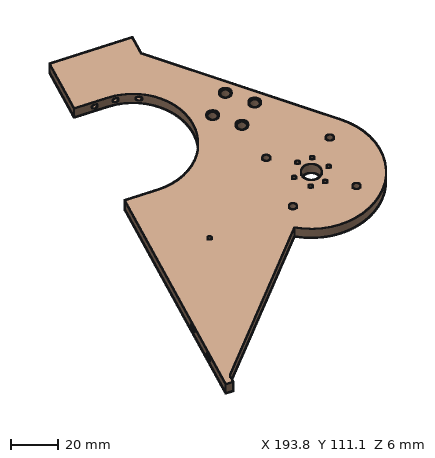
import cadquery as cq
import math

length = 193.8
thickness = 6.0
shoulder_width = 9.7
shoulder_height = 38.2
tip_width = 3.9
tip_height = 3.5

head_x = 98.6
head_y = 79.3
head_radius = 31.8
notch_x = 124.5

arch_x = 54.8
arch_radius = 27.7
arch_spring_y = 15.5

bore_diameter = 9.0
ring_radius = 8.0
ring_angles = (25, 90, 155, 205, 270, 335)
small_diameter = 2.0
bolt_spacing = 29.3
bolt_diameter = 3.5

group_x = 53.5
group_y = 62.5
group_spacing = 13.5
group_diameter = 4.5
countersink_diameter = 5.5
countersink_angle = 90.0

pilot_x = 115.9
pilot_y = 25.2

edge_hole_z = thickness / 2
left_hole_diameter = 2.5
left_hole_middle_y = 19.0
left_hole_pitch = 9.5
front_hole_diameter = 3.5
front_hole_depth = 9.7
drill_point_angle = 118.0
front_hole_xs = (157.2, 174.6)

shoulder_to_head_x = head_x - shoulder_width
shoulder_to_head_y = head_y - shoulder_height
slant_angle = math.atan2(shoulder_to_head_y, shoulder_to_head_x) + math.asin(
    head_radius / math.hypot(shoulder_to_head_x, shoulder_to_head_y)
)
tangent_point = (
    head_x - head_radius * math.sin(slant_angle),
    head_y + head_radius * math.cos(slant_angle),
)
notch_y = head_y - math.sqrt(head_radius**2 - (notch_x - head_x) ** 2)


def make_plate():
    """Plate outline with the round head and the arched opening."""
    return (
        cq.Workplane("XY")
        .lineTo(0, shoulder_height)
        .lineTo(shoulder_width, shoulder_height)
        .lineTo(*tangent_point)
        .threePointArc((head_x + head_radius, head_y), (notch_x, notch_y))
        .lineTo(length - tip_width, tip_height)
        .lineTo(length, tip_height)
        .lineTo(length, 0)
        .lineTo(arch_x + arch_radius, 0)
        .lineTo(arch_x + arch_radius, arch_spring_y)
        .threePointArc(
            (arch_x, arch_spring_y + arch_radius),
            (arch_x - arch_radius, arch_spring_y),
        )
        .lineTo(arch_x - arch_radius, 0)
        .close()
        .extrude(thickness)
    )


def top_plane(x, y, rotation=0):
    """Workplane on the top face, centred at (x, y) and turned about Z."""
    return cq.Workplane("XY", origin=(x, y, thickness)).transformed(rotate=(0, 0, rotation))


def through_pins(locations, diameter):
    """Cylinders through the full thickness at the given locations."""
    return locations.circle(diameter / 2).extrude(-thickness)


def countersunk_pins(locations):
    """Through cylinders, each widened by a cone at the top face."""
    width_difference = (countersink_diameter - group_diameter) / 2
    cone_depth = width_difference / math.tan(math.radians(countersink_angle / 2))
    cones = locations.circle(countersink_diameter / 2).extrude(-cone_depth, taper=countersink_angle / 2)
    return through_pins(locations, group_diameter).union(cones)


def left_edge_pins():
    """Three cylinders from the left edge into the arched opening."""
    return (
        cq.Workplane("YZ", origin=(0, left_hole_middle_y, edge_hole_z))
        .rarray(left_hole_pitch, 2, 3, 1)
        .circle(left_hole_diameter / 2)
        .extrude(arch_x)
    )


def front_edge_pins():
    """Blind cylinders with conical ends from the bottom edge into the right arm."""
    radius = front_hole_diameter / 2
    point_depth = radius / math.tan(math.radians(drill_point_angle / 2))
    profile = (
        cq.Workplane("XY")
        .lineTo(radius, 0)
        .lineTo(radius, front_hole_depth)
        .lineTo(0, front_hole_depth + point_depth)
        .close()
    )
    pin = profile.revolve(360, (0, 0, 0), (0, 1, 0))
    pins = cq.Workplane("XY")
    for x in front_hole_xs:
        pins = pins.add(pin.translate((x, 0, edge_hole_z)))
    return pins.combine()


head_plane = top_plane(head_x, head_y)
bolt_locations = top_plane(head_x, head_y).rarray(bolt_spacing, bolt_spacing, 2, 2)
ring_locations = top_plane(head_x, head_y).pushPoints(
    [
        (ring_radius * math.cos(math.radians(angle)), ring_radius * math.sin(math.radians(angle)))
        for angle in ring_angles
    ]
)
group_locations = top_plane(group_x, group_y, math.degrees(slant_angle)).rarray(
    group_spacing, group_spacing, 2, 2
)

result = (
    make_plate()
    .cut(through_pins(head_plane, bore_diameter))
    .cut(through_pins(bolt_locations, bolt_diameter))
    .cut(through_pins(ring_locations, small_diameter))
    .cut(through_pins(top_plane(pilot_x, pilot_y), small_diameter))
    .cut(countersunk_pins(group_locations))
    .cut(left_edge_pins())
    .cut(front_edge_pins())
)